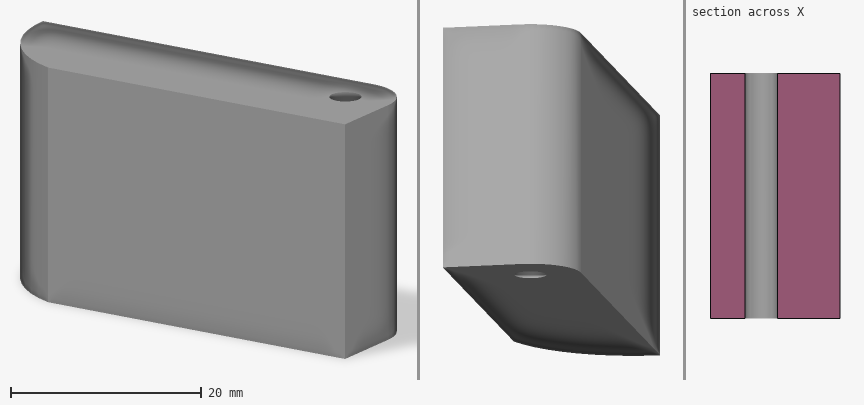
import cadquery as cq
import math

length = 46.95
width = 13.7
height = 25.8

nose_radius = 14.55

corner_radius = 5.4
hole_diameter = 3.4
hole_x = length - corner_radius
hole_y = width - corner_radius


def nose_point(y):
    """Point of the nose arc at a given Y."""
    return (nose_radius - math.sqrt(nose_radius**2 - (width - y) ** 2), y)


def make_body():
    """Extruded bar with a curved nose and one rounded back corner."""
    profile = (
        cq.Workplane("XY")
        .moveTo(0, width)
        .threePointArc(nose_point(width / 2), nose_point(0))
        .lineTo(length, 0)
        .lineTo(length, width)
        .close()
    )
    body = profile.extrude(height)
    return body.edges("|Z and >X and >Y").fillet(corner_radius)


def make_pivot_hole():
    """Cutter for the hole running through the full height."""
    return cq.Workplane("XY").center(hole_x, hole_y).circle(hole_diameter / 2).extrude(height)


result = make_body().cut(make_pivot_hole())